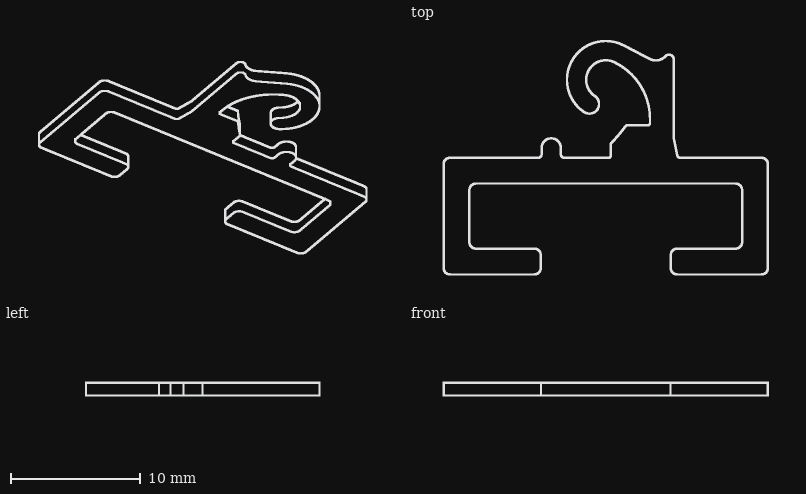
import cadquery as cq
import math

width = 25.0
thickness = 1.0
frame_height = 9.0
band = 2.0
mouth_width = 10.0
frame_radius = 0.5

peg_x = 8.3
peg_radius = 0.75
peg_center_y = 9.75
root_radius = 0.25

hook_x = width / 2
hook_y = 15.0
hook_outer_radius = 3.0
hook_inner_radius = 1.5
tip_angle = math.radians(236)
shoulder_angle = math.radians(62.5)

stem_left = 15.9
stem_right = 17.75
throat_end_y = 12.0
rest_radius = 1.0
rest_y = 17.5
horn_radius = 0.38
flare_top_y = 10.5
flare_width = 0.3

step_left = 12.88
step_top = 11.5
step_side_top = 10.08
step_top_left = 14.08
step_mid = (13.52, 10.8)
step_radius = 0.15

pick_margin = 0.02


def polar(center, radius, angle):
    """Point on a circle around the given center."""
    return (center[0] + radius * math.cos(angle), center[1] + radius * math.sin(angle))


def block(x_min, x_max, y_min, y_max):
    """Full-thickness rectangular block."""
    return (
        cq.Workplane("XY")
        .box(x_max - x_min, y_max - y_min, thickness, centered=False)
        .translate((x_min, y_min, 0))
    )


def round_edges(body, x_min, x_max, y_min, y_max, radius):
    """Fillet the vertical edges that lie within a range of x and y."""
    region = cq.selectors.BoxSelector(
        (x_min - pick_margin, y_min - pick_margin, 0),
        (x_max + pick_margin, y_max + pick_margin, thickness),
    )
    return body.edges("|Z").edges(region).fillet(radius)


def round_root(body, x, radius):
    """Fillet the vertical edge where a feature meets the frame top at x."""
    return round_edges(body, x, x, frame_height, frame_height, radius)


def make_frame():
    window = block(band, width - band, band, frame_height - band)
    window = window.edges("|Z").fillet(frame_radius)
    mouth = block((width - mouth_width) / 2, (width + mouth_width) / 2, 0, band)
    frame = block(0, width, 0, frame_height).cut(mouth)
    frame = frame.edges("|Z").edges("<Y or >Y").fillet(frame_radius).cut(window)
    arm_end = (width - mouth_width) / 2
    return round_edges(frame, arm_end, width - arm_end, band, band, frame_radius)


def make_peg():
    shank = block(peg_x - peg_radius, peg_x + peg_radius, frame_height - band / 2, peg_center_y)
    cap = cq.Workplane("XY").center(peg_x, peg_center_y).circle(peg_radius).extrude(thickness)
    return shank.union(cap)


def make_hook():
    hook = (hook_x, hook_y)
    base_y = frame_height - band / 2

    rise = hook_y - throat_end_y
    reach = stem_left - hook_x
    throat_radius = (reach**2 + rise**2 - hook_inner_radius**2) / (2 * (reach - hook_inner_radius))
    throat = (stem_left - throat_radius, throat_end_y)
    throat_angle = math.atan2(rise, hook_x - throat[0])

    rest_offset = hook_outer_radius + rest_radius
    rest_run = rest_offset - (rest_y - hook_y) * math.sin(shoulder_angle)
    rest_x = hook_x + rest_run / math.cos(shoulder_angle)
    rest = (rest_x, rest_y)

    horn_x = stem_right - horn_radius
    horn_drop = math.sqrt((rest_radius + horn_radius) ** 2 - (horn_x - rest_x) ** 2)
    horn = (horn_x, rest_y - horn_drop)
    rest_start = shoulder_angle - math.pi
    rest_end = math.atan2(-horn_drop, horn_x - rest_x)
    horn_start = rest_end + math.pi

    tip_radius = (hook_outer_radius - hook_inner_radius) / 2
    tip = polar(hook, (hook_outer_radius + hook_inner_radius) / 2, tip_angle)

    outline = (
        cq.Workplane("XY")
        .moveTo(stem_right + flare_width, base_y)
        .lineTo(stem_right + flare_width, frame_height)
        .lineTo(stem_right, flare_top_y)
        .lineTo(stem_right, horn[1])
        .threePointArc(polar(horn, horn_radius, horn_start / 2), polar(horn, horn_radius, horn_start))
        .threePointArc(
            polar(rest, rest_radius, (rest_start + rest_end) / 2),
            polar(rest, rest_radius, rest_start),
        )
        .lineTo(*polar(hook, hook_outer_radius, shoulder_angle))
        .threePointArc(
            polar(hook, hook_outer_radius, (shoulder_angle + tip_angle) / 2),
            polar(hook, hook_outer_radius, tip_angle),
        )
        .threePointArc(
            polar(tip, tip_radius, tip_angle + math.pi / 2),
            polar(hook, hook_inner_radius, tip_angle),
        )
        .threePointArc(
            polar(hook, hook_inner_radius, (throat_angle + tip_angle) / 2),
            polar(hook, hook_inner_radius, throat_angle),
        )
        .threePointArc(polar(throat, throat_radius, throat_angle / 2), (stem_left, throat_end_y))
        .lineTo(stem_left, step_top)
        .lineTo(step_top_left, step_top)
        .threePointArc(step_mid, (step_left, step_side_top))
        .lineTo(step_left, base_y)
        .close()
    )
    body = outline.extrude(thickness)
    return round_edges(body, step_left, stem_left, step_side_top, step_top, step_radius)


result = make_frame().union(make_peg()).union(make_hook())
for root_x in (peg_x - peg_radius, peg_x + peg_radius, stem_right + flare_width):
    result = round_root(result, root_x, root_radius)
result = round_root(result, step_left, step_radius)